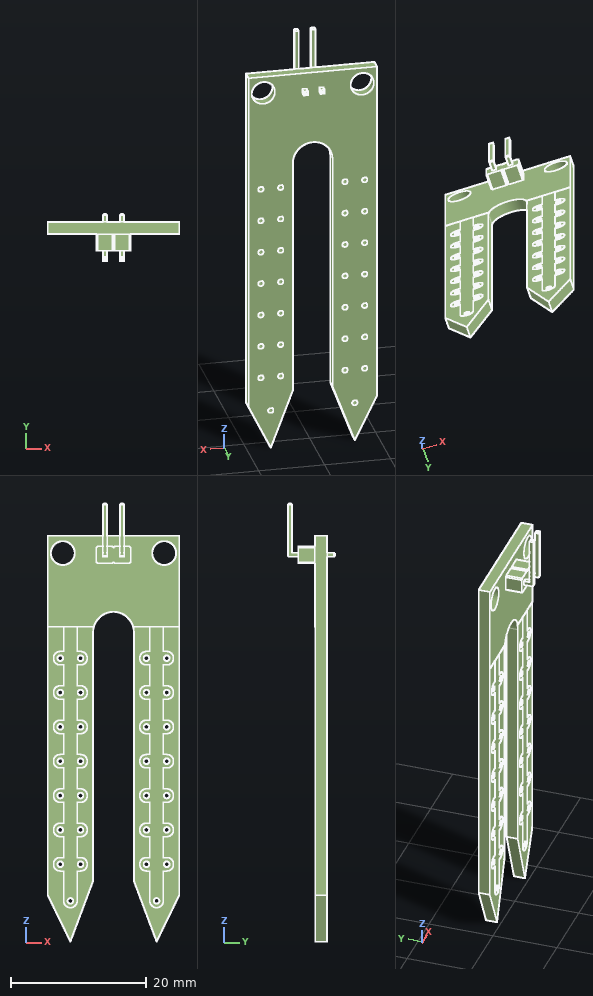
import cadquery as cq

OVERALL_HEIGHT = 64.88

BOARD_WIDTH = 19.5
BOARD_HEIGHT = 60.1
BOARD_THICKNESS = 1.75
HALF_WIDTH = BOARD_WIDTH / 2

SLOT_WIDTH = 6.0
SLOT_RADIUS = SLOT_WIDTH / 2
SLOT_TOP_Z = -11.3
SLOT_CENTER_Z = SLOT_TOP_Z - SLOT_RADIUS

PRONG_CENTER_X = (HALF_WIDTH + SLOT_RADIUS) / 2
OUTER_TAPER_HEIGHT = 6.9
INNER_TAPER_HEIGHT = 9.0

MOUNT_HOLE_DIAMETER = 3.5
MOUNT_HOLE_X = 7.5
MOUNT_HOLE_Z = -2.6

COATING_BOTTOM_Z = -13.5
COATING_HEIGHT = 0.04
TRACE_HEIGHT = 0.02
TRACE_WIDTH = 2.0
PAD_DIAMETER = 2.0
VIA_DIAMETER = 0.8
VIA_OFFSET_X = 1.5
VIA_ROWS = 7
VIA_PITCH = 5.08
FIRST_VIA_Z = -18.15
TIP_VIA_Z = -54.05

PIN_PITCH = 2.54
PIN_SIZE = 0.64
PIN_CHAMFER = 0.2
BEND_CHAMFER = 0.15
PIN_CENTER_Z = -2.85
PIN_TOP_Z = OVERALL_HEIGHT - BOARD_HEIGHT
PIN_BACK_LENGTH = 1.2
PIN_DEPTH = 7.0
HOUSING_SIZE = 2.54
HOUSING_CHAMFER = 0.2

FRONT_PLANE = cq.Plane(origin=(0, 0, 0), xDir=(1, 0, 0), normal=(0, -1, 0))
SIDES = (-1, 1)
PIN_BACK_Y = BOARD_THICKNESS + PIN_BACK_LENGTH
PIN_FRONT_Y = PIN_BACK_Y - PIN_DEPTH
VIA_POINTS = [
    (side * PRONG_CENTER_X + offset, FIRST_VIA_Z - row * VIA_PITCH)
    for side in SIDES
    for offset in (-VIA_OFFSET_X, VIA_OFFSET_X)
    for row in range(VIA_ROWS)
]
TIP_VIA_POINTS = [(side * PRONG_CENTER_X, TIP_VIA_Z) for side in SIDES]


def make_board():
    """Flat board with two pointed prongs and a round-topped slot between them."""
    outer_z = OUTER_TAPER_HEIGHT - BOARD_HEIGHT
    inner_z = INNER_TAPER_HEIGHT - BOARD_HEIGHT
    return (
        cq.Workplane(FRONT_PLANE)
        .moveTo(-HALF_WIDTH, 0)
        .lineTo(HALF_WIDTH, 0)
        .lineTo(HALF_WIDTH, outer_z)
        .lineTo(PRONG_CENTER_X, -BOARD_HEIGHT)
        .lineTo(SLOT_RADIUS, inner_z)
        .lineTo(SLOT_RADIUS, SLOT_CENTER_Z)
        .threePointArc((0, SLOT_TOP_Z), (-SLOT_RADIUS, SLOT_CENTER_Z))
        .lineTo(-SLOT_RADIUS, inner_z)
        .lineTo(-PRONG_CENTER_X, -BOARD_HEIGHT)
        .lineTo(-HALF_WIDTH, outer_z)
        .close()
        .extrude(-BOARD_THICKNESS)
    )


def make_coating():
    """Thin raised layer over the upper part of the front face, open at the slot."""
    coating = (
        cq.Workplane(FRONT_PLANE)
        .center(0, COATING_BOTTOM_Z / 2)
        .rect(BOARD_WIDTH, -COATING_BOTTOM_Z)
        .extrude(COATING_HEIGHT)
    )
    slot_end = (
        cq.Workplane(FRONT_PLANE)
        .center(0, SLOT_CENTER_Z)
        .circle(SLOT_RADIUS)
        .extrude(COATING_HEIGHT)
    )
    return coating.cut(slot_end)


def make_traces():
    """Raised strip down each prong, with a round end and a pad tab at every via."""
    strip_length = COATING_BOTTOM_Z - TIP_VIA_Z
    strips = (
        cq.Workplane(FRONT_PLANE)
        .pushPoints([(x, TIP_VIA_Z + strip_length / 2) for x, _ in TIP_VIA_POINTS])
        .rect(TRACE_WIDTH, strip_length)
        .extrude(TRACE_HEIGHT)
    )
    round_ends = (
        cq.Workplane(FRONT_PLANE)
        .pushPoints(TIP_VIA_POINTS)
        .circle(TRACE_WIDTH / 2)
        .extrude(TRACE_HEIGHT)
    )
    pad_rows = (
        cq.Workplane(FRONT_PLANE)
        .pushPoints([
            (x, FIRST_VIA_Z - row * VIA_PITCH)
            for x, _ in TIP_VIA_POINTS
            for row in range(VIA_ROWS)
        ])
        .slot2D(2 * VIA_OFFSET_X + PAD_DIAMETER, PAD_DIAMETER)
        .extrude(TRACE_HEIGHT)
    )
    return strips.union(round_ends).union(pad_rows)


def make_through_holes(points, diameter):
    """Cutters for round holes through the board and its front layers."""
    return (
        cq.Workplane(FRONT_PLANE)
        .pushPoints(points)
        .circle(diameter / 2)
        .extrude(BOARD_THICKNESS, both=True)
    )


def make_housing(x):
    """Plastic block of one pin, with its four edges along Y chamfered."""
    return (
        cq.Workplane("XY")
        .box(HOUSING_SIZE, HOUSING_SIZE, HOUSING_SIZE)
        .edges("|Y")
        .chamfer(HOUSING_CHAMFER)
        .translate((x, -HOUSING_SIZE / 2, PIN_CENTER_Z))
    )


def make_pin(x):
    """Square pin that passes through the board and bends upward in front of it."""
    pin_bottom_z = PIN_CENTER_Z - PIN_SIZE / 2
    level_leg = (
        cq.Workplane("XY")
        .box(PIN_SIZE, PIN_DEPTH, PIN_SIZE)
        .faces(">Y")
        .chamfer(PIN_CHAMFER)
        .translate((x, PIN_BACK_Y - PIN_DEPTH / 2, PIN_CENTER_Z))
    )
    upright_height = PIN_TOP_Z - pin_bottom_z
    upright = (
        cq.Workplane("XY")
        .box(PIN_SIZE, PIN_SIZE, upright_height)
        .faces(">Z")
        .chamfer(PIN_CHAMFER)
        .translate((x, PIN_FRONT_Y + PIN_SIZE / 2, PIN_TOP_Z - upright_height / 2))
    )
    return level_leg.union(upright).edges("|X and <Y and <Z").chamfer(BEND_CHAMFER)


result = make_board().union(make_coating()).union(make_traces())
mount_points = [(side * MOUNT_HOLE_X, MOUNT_HOLE_Z) for side in SIDES]
result = result.cut(make_through_holes(mount_points, MOUNT_HOLE_DIAMETER))
result = result.cut(make_through_holes(VIA_POINTS + TIP_VIA_POINTS, VIA_DIAMETER))
for side in SIDES:
    pin_x = side * PIN_PITCH / 2
    result = result.union(make_housing(pin_x)).union(make_pin(pin_x))